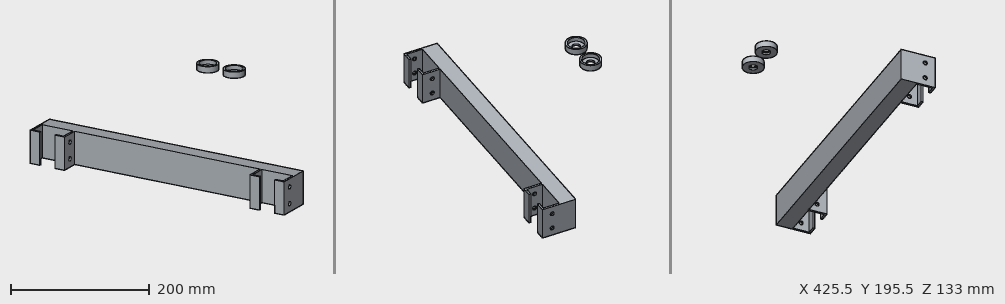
import cadquery as cq

rail_length = 425.5
rail_height = 51.0
beam_depth = 25.5
wall = 3.2
channel_inner_width = 51.0
channel_inner_depth = 25.5
slot_width = 25.5
screw_diameter = 6.5
screw_spacing = 25.5

cup_diameter = 32.0
cup_recess_diameter = 25.5
cup_bore_diameter = 12.8
cup_recess_depth = 6.5
cup_floor = 3.2
cup_spacing = 44.2

overall_depth = 195.5
overall_height = 133.0

channel_width = channel_inner_width + 2 * wall
lip_front_y = -channel_inner_depth - wall
lip_length = (channel_width - slot_width) / 2
channel_center_x = (rail_length - channel_width) / 2
screw_y = -channel_inner_depth / 2
cup_y = lip_front_y + overall_depth - cup_diameter / 2
cup_height = cup_floor + cup_recess_depth
cup_bottom_z = overall_height - cup_height


def block(x_min, x_max, y_min, y_max):
    """Block of full rail height between the given X and Y limits."""
    return (
        cq.Workplane("XY")
        .box(x_max - x_min, y_max - y_min, rail_height, centered=False)
        .translate((x_min, y_min, 0))
    )


def make_channel_side(center_x, side):
    """One wall of a C-channel with its inward lip; side is -1 or +1 along X."""
    outer_x = center_x + side * channel_width / 2
    wall_limits = sorted((outer_x, outer_x - side * wall))
    lip_limits = sorted((outer_x, outer_x - side * lip_length))
    upright = block(*wall_limits, lip_front_y, 0)
    lip = block(*lip_limits, lip_front_y, lip_front_y + wall)
    return upright.union(lip)


def make_screw_holes():
    """Two holes along X, passing through every channel wall."""
    heights = [rail_height / 2 + side * screw_spacing / 2 for side in (-1, 1)]
    return (
        cq.Workplane("YZ", origin=(-rail_length / 2, 0, 0))
        .pushPoints([(screw_y, height) for height in heights])
        .circle(screw_diameter / 2)
        .extrude(rail_length)
    )


def make_rail():
    """Solid beam with a slotted C-channel in front of each end."""
    rail = block(-rail_length / 2, rail_length / 2, 0, beam_depth)
    for center_x in (-channel_center_x, channel_center_x):
        for side in (-1, 1):
            rail = rail.union(make_channel_side(center_x, side))
    return rail.cut(make_screw_holes())


def make_cup(center_x):
    """Round cup, open upward, with a bore through its floor."""
    return (
        cq.Workplane("XY", origin=(center_x, cup_y, cup_bottom_z))
        .circle(cup_diameter / 2)
        .extrude(cup_height)
        .faces(">Z")
        .workplane()
        .cboreHole(cup_bore_diameter, cup_recess_diameter, cup_recess_depth)
    )


rail = make_rail()
cups = [make_cup(side * cup_spacing / 2) for side in (-1, 1)]

result = cq.Compound.makeCompound([rail.val(), *[cup.val() for cup in cups]])